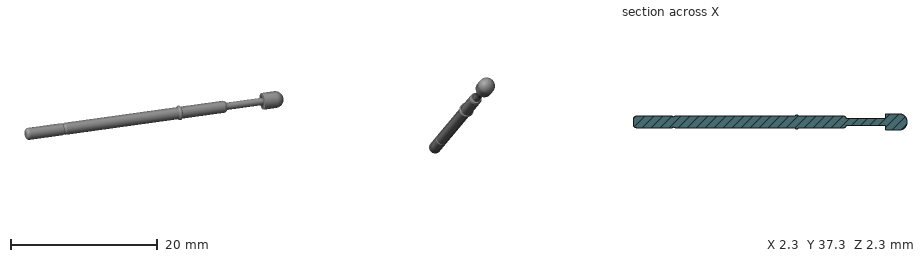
import cadquery as cq

total_length = 37.3

head_diameter = 2.3
head_length = 3.0
stem_diameter = 1.0

barrel_diameter = 1.65
barrel_length = 29.0
mouth_diameter = 1.35
mouth_length = 0.3
rear_round_radius = 0.45

ring_diameter = 2.0
ring_width = 0.5
ring_center = 22.25

groove_start = 5.3
groove_depth = 0.1
groove_rear_width = 0.1
groove_front_width = 0.3
groove_wall_hollow = 0.025

barrel_radius = barrel_diameter / 2
diagonal = 0.5 ** 0.5


def revolve_about_y(profile):
    """Turn a closed (radius, station) profile fully around the Y axis."""
    return profile.close().revolve(360, (0, 0, 0), (0, 1, 0))


def make_plunger():
    """Stem and hemispherical head; the stem starts inside the barrel."""
    head_radius = head_diameter / 2
    stem_radius = stem_diameter / 2
    stem_start = barrel_length / 2
    head_base = total_length - head_length
    dome_base = total_length - head_radius
    dome_offset = head_radius * diagonal
    profile = (
        cq.Workplane("ZY")
        .moveTo(0, stem_start)
        .lineTo(stem_radius, stem_start)
        .lineTo(stem_radius, head_base)
        .lineTo(head_radius, head_base)
        .lineTo(head_radius, dome_base)
        .threePointArc((dome_offset, dome_base + dome_offset), (0, total_length))
    )
    return revolve_about_y(profile)


def add_rear_round(profile):
    """Flat rear face with a quarter-round edge."""
    flat_radius = barrel_radius - rear_round_radius
    arc_offset = rear_round_radius * diagonal
    arc_middle = (flat_radius + arc_offset, rear_round_radius - arc_offset)
    return (
        profile
        .lineTo(flat_radius, 0)
        .threePointArc(arc_middle, (barrel_radius, rear_round_radius))
    )


def add_crimp_groove(profile):
    """Steep rear wall down to the groove bottom, then a hollowed wall back out."""
    bottom = groove_start + groove_rear_width
    wall_middle_radius = barrel_radius - groove_depth / 2 - groove_wall_hollow
    wall_middle = (wall_middle_radius, bottom + groove_front_width / 2)
    return (
        profile
        .lineTo(barrel_radius, groove_start)
        .lineTo(barrel_radius - groove_depth, bottom)
        .threePointArc(wall_middle, (barrel_radius, bottom + groove_front_width))
    )


def add_press_ring(profile):
    """Arc-shaped bead around the barrel."""
    return (
        profile
        .lineTo(barrel_radius, ring_center - ring_width / 2)
        .threePointArc((ring_diameter / 2, ring_center), (barrel_radius, ring_center + ring_width / 2))
    )


def add_mouth(profile):
    """Taper down to the mouth face, which closes on the axis."""
    return (
        profile
        .lineTo(barrel_radius, barrel_length - mouth_length)
        .lineTo(mouth_diameter / 2, barrel_length)
        .lineTo(0, barrel_length)
    )


def make_barrel():
    """Barrel profile built from the rear end to the mouth, then revolved."""
    profile = cq.Workplane("ZY").moveTo(0, 0)
    profile = add_rear_round(profile)
    profile = add_crimp_groove(profile)
    profile = add_press_ring(profile)
    profile = add_mouth(profile)
    return revolve_about_y(profile)


result = make_barrel().union(make_plunger())